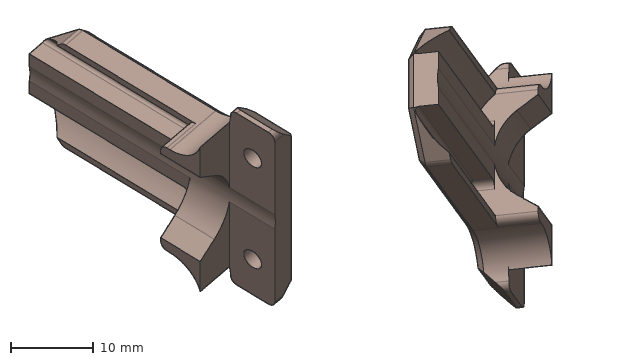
import cadquery as cq
import math

length = 38.95
height = 30.0
flange_width = 7.0
arm_height = 18.0
tip_height = 7.1
corner_radius = 1.0
back_chamfer = 0.9
flange_bevel = 3.3
base_depth = 4.0
lip_depth = 4.13

rib_start = 25.45
rib_end = 31.75
rib_depth = 9.5

channel_radius = 6.7
channel_floor_depth = 3.9
flare_angle = math.radians(56)

bar_height = 6.95
trough_radius = 10.15
trough_axis_depth = 10.35
trough_fillet = 0.5

hole_diameter = 2.8
hole_spacing = 17.65

flange_start = length - flange_width
nose_length = (arm_height - tip_height) / 2
web_radius = (height - arm_height) / 2 - corner_radius
clearance = 1.95


def box(x_range, depth_range, z_range):
    """Block between two X, two depths (measured from Y = 0 toward -Y) and two Z."""
    size = [r[1] - r[0] for r in (x_range, depth_range, z_range)]
    corner = (x_range[0], -depth_range[1], z_range[0])
    return cq.Workplane("XY").box(*size, centered=False).translate(corner)


def outline_prism(depth):
    """Arm and flange outline, extruded forward from the back plane."""
    half_arm = arm_height / 2
    half_tip = tip_height / 2
    half_flange = height / 2
    arc_start = flange_start - web_radius
    arc_end = half_arm + web_radius
    arc_mid_x = arc_start + web_radius * math.sin(math.pi / 4)
    arc_mid_z = arc_end - web_radius * math.cos(math.pi / 4)
    corner_end_x = flange_start + corner_radius
    corner_mid_x = corner_end_x - corner_radius * math.cos(math.pi / 4)
    corner_mid_z = arc_end + corner_radius * math.sin(math.pi / 4)
    prism = (
        cq.Workplane("XZ")
        .moveTo(0, -half_tip)
        .lineTo(nose_length, -half_arm)
        .lineTo(arc_start, -half_arm)
        .threePointArc((arc_mid_x, -arc_mid_z), (flange_start, -arc_end))
        .threePointArc((corner_mid_x, -corner_mid_z), (corner_end_x, -half_flange))
        .lineTo(length, -half_flange)
        .lineTo(length, half_flange)
        .lineTo(corner_end_x, half_flange)
        .threePointArc((corner_mid_x, corner_mid_z), (flange_start, arc_end))
        .threePointArc((arc_mid_x, arc_mid_z), (arc_start, half_arm))
        .lineTo(nose_length, half_arm)
        .lineTo(0, half_tip)
        .close()
        .extrude(depth)
    )
    rounded_corners = [
        (x, z)
        for side in (-1, 1)
        for x, z in (
            (nose_length, side * half_arm),
            (length, side * half_flange),
        )
    ]
    for x, z in rounded_corners:
        corner_edge = cq.selectors.NearestToPointSelector((x, -depth / 2, z))
        prism = prism.edges(corner_edge).fillet(corner_radius)
    return prism


def flat_body():
    """Body with its back chamfer, flange bevels and stepped front."""
    body = outline_prism(lip_depth).faces(">Y").chamfer(back_chamfer)
    bevel_start = height / 2 - flange_bevel
    reach = flange_bevel + clearance
    for side in (-1, 1):
        bevel = (
            cq.Workplane("YZ")
            .polyline([
                (0, side * bevel_start),
                (-reach, side * (bevel_start + reach)),
                (0, side * (bevel_start + reach)),
            ])
            .close()
            .extrude(length + clearance)
        )
        body = body.cut(bevel)
    step = (base_depth, rib_depth)
    body = body.cut(box((rib_end, length + clearance), step, (-height, height)))
    return body.cut(box((-clearance, rib_start), step, (-bar_height / 2, bar_height / 2)))


def trough(side):
    """Cutter for one trough: round floor, filleted against the flat wall of the bar."""
    wall = bar_height / 2
    cylinder = (
        cq.Workplane("YZ", origin=(-clearance, 0, 0))
        .center(-trough_axis_depth, 0)
        .circle(trough_radius)
        .extrude(rib_start + clearance)
    )
    z_range = sorted((side * wall, side * 2 * trough_radius))
    depth_range = (-clearance, trough_axis_depth)
    cutter = cylinder.intersect(box((-clearance, rib_start), depth_range, z_range))
    floor_depth = trough_axis_depth - math.sqrt(trough_radius**2 - wall**2)
    floor_corner = (rib_start / 2, -floor_depth, side * wall)
    cutter = cutter.edges(cq.selectors.NearestToPointSelector(floor_corner)).fillet(trough_fillet)
    return cutter.cut(bar_end_fillet(side))


def bar_end_fillet(side):
    """Concave fillet between the side of the bar and the rib, running along Y."""
    wall = side * bar_height / 2
    arc_x = rib_start - corner_radius
    arc_z = wall + side * corner_radius
    bulge = corner_radius * math.sin(math.pi / 4)
    return (
        cq.Workplane("XZ")
        .moveTo(arc_x, wall)
        .lineTo(rib_start, wall)
        .lineTo(rib_start, arc_z)
        .threePointArc((arc_x + bulge, arc_z - side * bulge), (arc_x, wall))
        .close()
        .extrude(base_depth)
    )


def rib():
    """Cross rib following the outline, with its outer edges toward the tip rounded."""
    span = box((rib_start, rib_end), (base_depth / 2, rib_depth), (-height, height))
    block = outline_prism(rib_depth).intersect(span)
    return block.faces("<X").edges("|Y").fillet(corner_radius)


def channel():
    """Cutter for the channel, open toward the front."""
    axis_depth = channel_floor_depth + channel_radius
    tangent_z = channel_radius * math.sin(flare_angle)
    tangent_y = channel_radius * math.cos(flare_angle) - axis_depth
    front_y = -(rib_depth + clearance)
    front_z = tangent_z + (tangent_y - front_y) / math.tan(flare_angle)
    return (
        cq.Workplane("YZ", origin=(-clearance, 0, 0))
        .moveTo(front_y, -front_z)
        .lineTo(tangent_y, -tangent_z)
        .threePointArc((-channel_floor_depth, 0), (tangent_y, tangent_z))
        .lineTo(front_y, front_z)
        .close()
        .extrude(length + 2 * clearance)
    )


def screw_holes():
    """Cutter for the two holes through the flange."""
    hole_x = length - flange_width / 2
    return (
        cq.Workplane("XZ")
        .pushPoints([(hole_x, -hole_spacing / 2), (hole_x, hole_spacing / 2)])
        .circle(hole_diameter / 2)
        .extrude(rib_depth)
    )


result = flat_body()
for trough_side in (-1, 1):
    result = result.cut(trough(trough_side))
result = result.union(rib()).cut(channel()).cut(screw_holes())